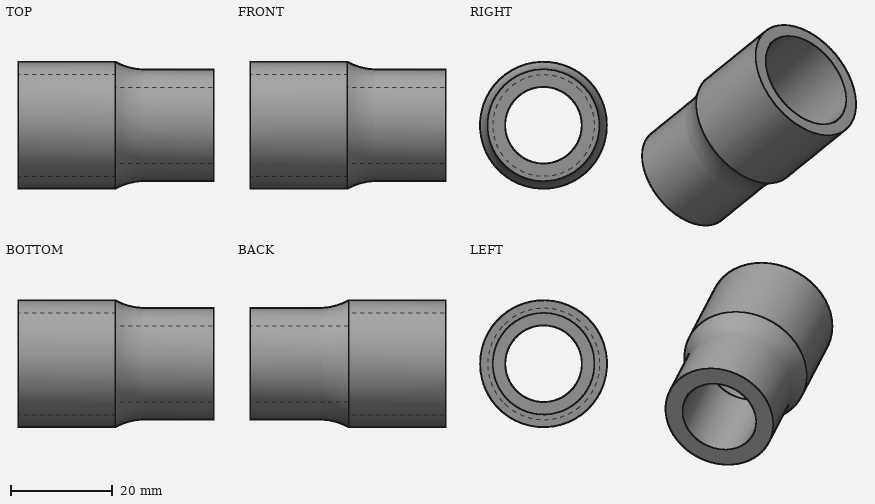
import cadquery as cq
import math

total_length = 38.5
large_radius = 25.0 / 2
small_radius = 22.0 / 2
socket_radius = 20.0 / 2
bore_radius = 15.0 / 2
large_length = 19.1
neck_length = 5.4
neck_radius = 12.0
socket_depth = large_length

neck_end = large_length + neck_length
neck_drop = large_radius - small_radius
chord = math.hypot(neck_length, neck_drop)
sagitta = neck_radius - math.sqrt(neck_radius**2 - (chord / 2) ** 2)
arc_mid_x = large_length + neck_length / 2 - sagitta * neck_drop / chord
arc_mid_radius = (large_radius + small_radius) / 2 - sagitta * neck_length / chord


def make_outer_body():
    """Solid of revolution: large cylinder, concave neck, small cylinder."""
    profile = (
        cq.Workplane("XY")
        .lineTo(0, large_radius)
        .lineTo(large_length, large_radius)
        .threePointArc((arc_mid_x, arc_mid_radius), (neck_end, small_radius))
        .lineTo(total_length, small_radius)
        .lineTo(total_length, 0)
        .close()
    )
    return profile.revolve(360, (0, 0, 0), (1, 0, 0))


def make_bore(radius, depth):
    """Round cutter starting at the large end face."""
    return cq.Workplane("YZ").circle(radius).extrude(depth)


sleeve = (
    make_outer_body()
    .cut(make_bore(socket_radius, socket_depth))
    .cut(make_bore(bore_radius, total_length))
)

result = sleeve.translate((-total_length / 2, 0, 0))